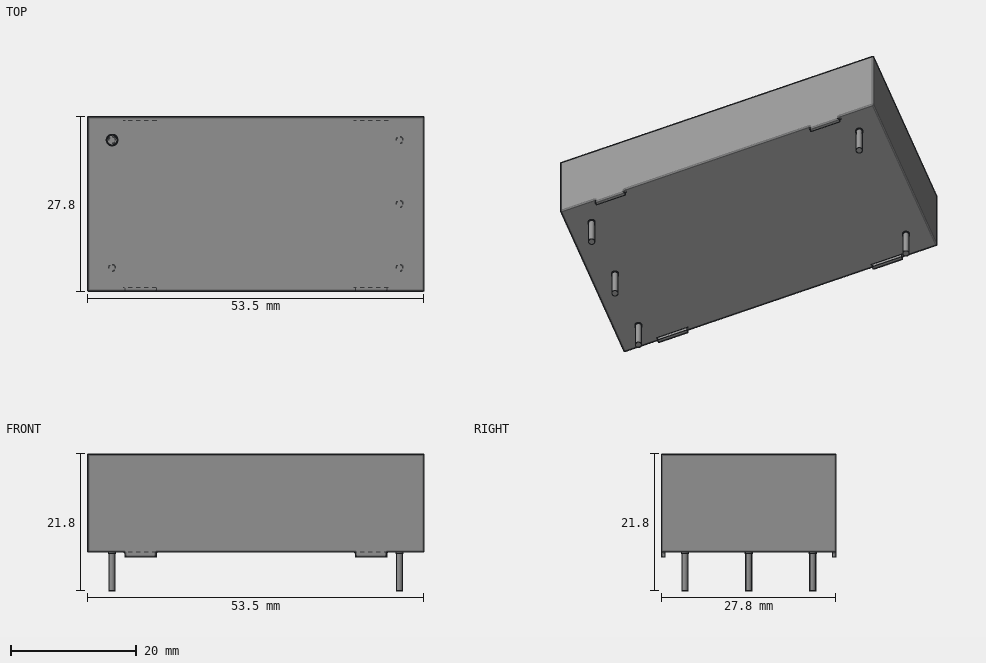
import cadquery as cq

case_length = 53.5
case_width = 27.8
overall_height = 21.75
pin_length = 6.15
case_height = overall_height - pin_length
edge_radius = 0.2

foot_length = 5.0
foot_thickness = 0.6
foot_height = 0.8
foot_end_gap = 5.92
foot_outer_x = case_length / 2 - foot_end_gap
root_radius = 0.2

grid = 2.54
pin_diameter = 1.0
pin_x = 9 * grid
pin_y = 4 * grid
collar_diameter = 1.15
collar_height = 0.2
pin_positions = [
    (-pin_x, -pin_y),
    (-pin_x, pin_y),
    (pin_x, -pin_y),
    (pin_x, 0),
    (pin_x, pin_y),
]

mark_diameter = 1.85
mark_floor_diameter = 1.55
mark_depth = 0.1


def make_foot(side_x, side_y):
    """Foot flush with a long side of the case."""
    center_x = side_x * (foot_outer_x - foot_length / 2)
    center_y = side_y * (case_width / 2 - foot_thickness / 2)
    return (
        cq.Workplane("XY")
        .center(center_x, center_y)
        .rect(foot_length, foot_thickness)
        .extrude(-foot_height)
    )


def make_case():
    """Block with four feet: foot roots are filleted, then the whole outline of each side face is rounded."""
    case = cq.Workplane("XY").box(case_length, case_width, case_height, centered=(True, True, False))
    for side_x in (-1, 1):
        for side_y in (-1, 1):
            case = case.union(make_foot(side_x, side_y))
    reach_x = foot_outer_x + root_radius
    root_zone = cq.selectors.BoxSelector(
        (-reach_x, -case_width, -root_radius),
        (reach_x, case_width, root_radius),
    )
    case = case.edges("|Y").edges(root_zone).fillet(root_radius)
    return case.faces("<X or >X or <Y or >Y").edges().fillet(edge_radius)


def make_pins():
    pins = cq.Workplane("XY").pushPoints(pin_positions).circle(pin_diameter / 2).extrude(-pin_length)
    collars = cq.Workplane("XY").pushPoints(pin_positions).circle(collar_diameter / 2).extrude(-collar_height)
    return pins.union(collars)


def make_mark():
    """Shallow recess whose rim slopes down to a flat floor."""
    return (
        cq.Workplane("XY", origin=(-pin_x, pin_y, case_height))
        .circle(mark_diameter / 2)
        .workplane(offset=-mark_depth)
        .circle(mark_floor_diameter / 2)
        .loft(ruled=True)
    )


result = make_case().cut(make_mark()).union(make_pins())